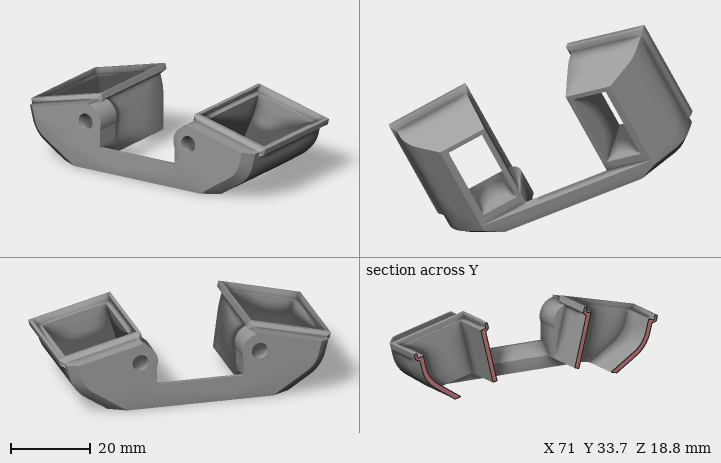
import cadquery as cq
import math

LENGTH = 71.0
DEPTH = 33.7
HEIGHT = 18.75
TILT = math.radians(14)

RIM_WIDTH = 22.0
RIM_HEIGHT = 1.55
RIM_FRONT = 4.2
RIM_SIDE_BEVEL = 1.15
RIM_FRONT_BEVEL = 0.85
RIM_TAPER = 0.7
TRAY_DEPTH = 1.3
TRAY_SIDE_LIP = 0.85
TRAY_FRONT = 6.2
TRAY_BACK_LIP = 0.4
TRAY_BACK_SLOPE = 1.15

WALL = 1.35
BODY_LEFT = RIM_SIDE_BEVEL
BODY_RIGHT = 21.0
BODY_BACK = 32.15
BODY_TOP_DROP = 1.0
FLOOR_START_X = -23.6
FLOOR_ANGLE = math.radians(33)
CORNER_RADIUS = 9.95
BACK_BEND_DROP = 5.9
BACK_ANGLE = math.radians(19.5)
BACK_RADIUS = 9.95
CAVITY_FRONT = 6.7
FRONT_CHAMFER = 2.5

EAR_X = -15.55
EAR_Z = 12.5
EAR_RADIUS = 4.55
EAR_DEPTH = 7.2
PIN_DIAMETER = 4.2
PIN_DEPTH = 5.0
NECK_X = -11.3
BAR_HEIGHT = 6.25
BAR_DEPTH = 4.05
BAR_FLAT = 1.1

RIM_ORIGIN = (-LENGTH / 2, HEIGHT - RIM_WIDTH * math.sin(TILT))
TILTED = cq.Plane(
    origin=(RIM_ORIGIN[0], 0, RIM_ORIGIN[1]),
    xDir=(math.cos(TILT), 0, math.sin(TILT)),
    normal=(-math.sin(TILT), 0, math.cos(TILT)),
)


def tilted_point(along, drop):
    """X, Z of a point given along the rim and below its top plane."""
    x = RIM_ORIGIN[0] + along * math.cos(TILT) + drop * math.sin(TILT)
    z = RIM_ORIGIN[1] + along * math.sin(TILT) - drop * math.cos(TILT)
    return x, z


def drop_below_rim(x, z):
    """Distance of a point below the top plane of the rim."""
    return (x - RIM_ORIGIN[0]) * math.sin(TILT) + (RIM_ORIGIN[1] - z) * math.cos(TILT)


def point_at_height(along, z):
    """X, Z where a wall square to the rim reaches height z."""
    drop = (RIM_ORIGIN[1] + along * math.sin(TILT) - z) / math.cos(TILT)
    return tilted_point(along, drop)


def extrude_y(sketch, front, back):
    """Solid between two Y positions from a closed XZ sketch."""
    return sketch.extrude(front - back).translate((0, front, 0))


def pod_profile(inset):
    """Closed XZ outline of the pod, moved inward by the inset."""
    left = BODY_LEFT + inset
    right = BODY_RIGHT - inset
    floor_x = FLOOR_START_X + inset / math.sin(FLOOR_ANGLE)
    wall_x = point_at_height(left, 0)[0]
    corner_z = (floor_x - wall_x) / (1 / math.tan(FLOOR_ANGLE) - math.tan(TILT))
    corner_x, corner_z = point_at_height(left, corner_z)
    turn = math.pi / 2 - TILT - FLOOR_ANGLE
    radius = CORNER_RADIUS - inset
    tangent = radius * math.tan(turn / 2)
    arc_start = (corner_x - tangent * math.sin(TILT), corner_z + tangent * math.cos(TILT))
    arc_end = (corner_x + tangent * math.cos(FLOOR_ANGLE), corner_z - tangent * math.sin(FLOOR_ANGLE))
    to_middle = radius * (1 / math.cos(turn / 2) - 1)
    middle_angle = (math.pi / 2 + FLOOR_ANGLE - TILT) / 2
    middle = (
        corner_x + to_middle * math.cos(middle_angle),
        corner_z + to_middle * math.sin(middle_angle),
    )
    return (
        cq.Workplane("XZ")
        .moveTo(*tilted_point(left, BODY_TOP_DROP))
        .lineTo(*arc_start)
        .threePointArc(middle, arc_end)
        .lineTo(floor_x, 0)
        .lineTo(*point_at_height(right, 0))
        .lineTo(*tilted_point(right, BODY_TOP_DROP))
        .close()
    )


def back_limit(inset):
    """Region in front of the pod's back wall, which bends forward lower down."""
    back = BODY_BACK - inset
    bend_drop = BACK_BEND_DROP + inset * math.tan(BACK_ANGLE / 2)
    tangent = (BACK_RADIUS - inset) * math.tan(BACK_ANGLE / 2)
    arc_start = (back, -(bend_drop - tangent))
    arc_end = (back - tangent * math.sin(BACK_ANGLE), -(bend_drop + tangent * math.cos(BACK_ANGLE)))
    slope_end = (back - (HEIGHT - bend_drop) * math.tan(BACK_ANGLE), -HEIGHT)
    return (
        cq.Workplane(TILTED).transformed(rotate=(90, 90, 0))
        .moveTo(0, 0)
        .lineTo(back, 0)
        .lineTo(*arc_start)
        .tangentArcPoint(arc_end, relative=False)
        .lineTo(*slope_end)
        .lineTo(0, -HEIGHT)
        .close()
        .extrude(RIM_WIDTH)
    )


def make_rim():
    """Solid rim with a bevelled front and an underside tapering into the body."""
    frame = cq.Workplane(TILTED).polyline([
        (0, DEPTH),
        (0, RIM_FRONT + RIM_FRONT_BEVEL),
        (RIM_SIDE_BEVEL, RIM_FRONT),
        (BODY_RIGHT, RIM_FRONT),
        (RIM_WIDTH, RIM_FRONT + RIM_FRONT_BEVEL),
        (RIM_WIDTH, DEPTH),
    ]).close().extrude(-RIM_HEIGHT)
    front_bevel = (
        cq.Workplane(TILTED).transformed(rotate=(90, 90, 0))
        .polyline([
            (RIM_FRONT, 0),
            (RIM_FRONT + RIM_FRONT_BEVEL, 0),
            (RIM_FRONT, -BODY_TOP_DROP),
        ]).close().extrude(RIM_WIDTH)
    )
    rim_side_front = RIM_FRONT + RIM_FRONT_BEVEL
    body_mid_x = (BODY_LEFT + BODY_RIGHT) / 2
    body_mid_y = (RIM_FRONT + BODY_BACK) / 2
    underside = (
        cq.Workplane(TILTED).workplane(offset=-RIM_HEIGHT)
        .center(RIM_WIDTH / 2, (rim_side_front + DEPTH) / 2)
        .rect(RIM_WIDTH, DEPTH - rim_side_front)
        .workplane(offset=-RIM_TAPER)
        .center(body_mid_x - RIM_WIDTH / 2, body_mid_y - (rim_side_front + DEPTH) / 2)
        .rect(BODY_RIGHT - BODY_LEFT, BODY_BACK - RIM_FRONT)
        .loft(ruled=True)
    )
    return frame.cut(front_bevel).union(underside)


def make_tray():
    """Shallow recess in the rim, with a sloping back."""
    back = DEPTH - TRAY_BACK_LIP
    return (
        cq.Workplane(TILTED).transformed(rotate=(90, 90, 0))
        .workplane(offset=TRAY_SIDE_LIP)
        .polyline([
            (TRAY_FRONT, 0),
            (back, 0),
            (back - TRAY_BACK_SLOPE, -TRAY_DEPTH),
            (TRAY_FRONT, -TRAY_DEPTH),
        ]).close().extrude(RIM_WIDTH - 2 * TRAY_SIDE_LIP)
    )


def make_front_plate():
    """Upright block carrying the hinge ear, beside the pod's inner wall."""
    ear = extrude_y(cq.Workplane("XZ").center(EAR_X, EAR_Z).circle(EAR_RADIUS), 0, EAR_DEPTH)
    neck = extrude_y(
        cq.Workplane("XZ").polyline([(EAR_X, 0), (NECK_X, 0), (NECK_X, EAR_Z), (EAR_X, EAR_Z)]).close(),
        0, EAR_DEPTH)
    shoulder = extrude_y(
        cq.Workplane("XZ").polyline([
            (EAR_X, EAR_Z),
            tilted_point(RIM_WIDTH / 2, BODY_TOP_DROP),
            tilted_point(BODY_RIGHT, BODY_TOP_DROP),
            tilted_point(BODY_RIGHT, EAR_RADIUS),
        ]).close(),
        0, RIM_FRONT + RIM_FRONT_BEVEL)
    return ear.union(neck).union(shoulder)


def make_bar(half_length):
    """Bar joining the pods, its back top edge bevelled to leave a narrow top."""
    bevel = BAR_DEPTH - BAR_FLAT
    outline = [
        (0, 0),
        (BAR_DEPTH, 0),
        (BAR_DEPTH, BAR_HEIGHT - bevel),
        (BAR_FLAT, BAR_HEIGHT),
        (0, BAR_HEIGHT),
    ]
    return cq.Workplane("YZ").polyline(outline).close().extrude(half_length, both=True)


def make_underside_relief():
    """Wedge below the pod, leaving its underside parallel to the rim but keeping the bar."""
    end_x, end_z = tilted_point(RIM_WIDTH, drop_below_rim(FLOOR_START_X, 0))
    wedge = extrude_y(
        cq.Workplane("XZ").polyline([(FLOOR_START_X, 0), (end_x, end_z), (end_x, 0)]).close(),
        0, DEPTH)
    return wedge.cut(make_bar(LENGTH / 2))


def make_pod():
    """Complete left pod with its hinge ear."""
    body = extrude_y(pod_profile(0), 0, BODY_BACK).intersect(back_limit(0))
    inner = extrude_y(pod_profile(WALL), CAVITY_FRONT, BODY_BACK)
    cavity = inner.intersect(back_limit(WALL))
    outer_edges = cq.selectors.BoxSelector(
        (-LENGTH / 2, -WALL, WALL),
        (FLOOR_START_X, WALL, RIM_ORIGIN[1] - BODY_TOP_DROP),
    )
    front_edges = body.faces("<Y").edges(outer_edges)
    body = front_edges.chamfer(FRONT_CHAMFER)
    pin_hole = extrude_y(
        cq.Workplane("XZ").center(EAR_X, EAR_Z).circle(PIN_DIAMETER / 2), 0, PIN_DEPTH)
    pod = body.union(make_front_plate()).union(make_rim())
    pod = pod.cut(make_underside_relief())
    return pod.cut(make_tray()).cut(cavity).cut(pin_hole)


left_pod = make_pod()
result = left_pod.union(left_pod.mirror("YZ")).union(make_bar(-NECK_X))